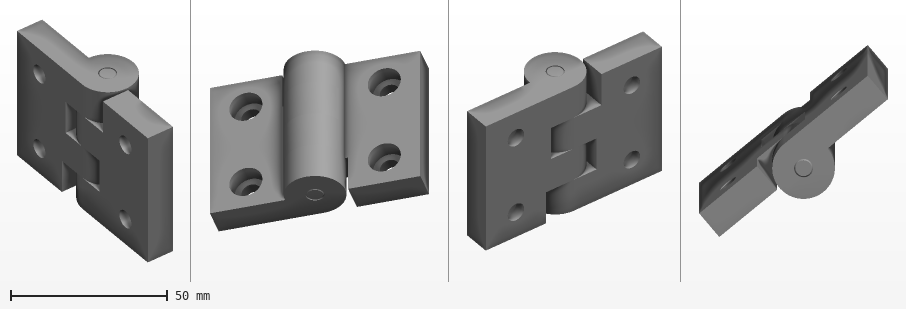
import cadquery as cq

hinge_width = 70.0
hinge_height = 50.0
leaf_thickness = 10.0
knuckle_radius = leaf_thickness
knuckle_count = 4
knuckle_height = hinge_height / knuckle_count

end_slot_reach = 11.0
inner_slot_reach = 9.0

hole_diameter = 6.5
counterbore_diameter = 11.0
hole_land = 4.0
hole_offset_x = 23.0
hole_offset_z = 15.0

pin_diameter = 6.0
pin_chamfer = 0.4


def leaf_profile():
    """Full-height plate on the -X side, joined to a round barrel on the pin axis."""
    half_width = hinge_width / 2
    plate = cq.Workplane("XY").box(
        half_width, leaf_thickness, hinge_height, centered=False
    ).translate((-half_width, -leaf_thickness, -hinge_height / 2))
    barrel = cq.Workplane("XY").circle(knuckle_radius).extrude(hinge_height / 2, both=True)
    return plate.union(barrel)


def band_block(index, x_min, x_max):
    """Block filling one knuckle's height, counted from the top, between two X planes."""
    depth = 2 * knuckle_radius
    bottom = hinge_height / 2 - (index + 1) * knuckle_height
    block = cq.Workplane("XY").box(x_max - x_min, depth, knuckle_height, centered=False)
    return block.translate((x_min, -knuckle_radius, bottom))


def round_cutters(diameter, front_y):
    """Two round cutters, one above the other, from a Y plane through the +Y side of the plate."""
    centers = [(-hole_offset_x, -hole_offset_z), (-hole_offset_x, hole_offset_z)]
    return (
        cq.Workplane("XZ", origin=(0, front_y, 0))
        .pushPoints(centers)
        .circle(diameter / 2)
        .extrude(front_y)
    )


def mounting_holes():
    """Cutters for the through holes and their counterbores, which open on the +Y side."""
    through_holes = round_cutters(hole_diameter, -leaf_thickness)
    counterbores = round_cutters(counterbore_diameter, hole_land - leaf_thickness)
    return through_holes.union(counterbores)


def make_leaf():
    """Leaf on the -X side, with knuckles in the first and third bands from the top."""
    leaf = leaf_profile()
    leaf = leaf.cut(band_block(2, inner_slot_reach, knuckle_radius))
    leaf = leaf.cut(band_block(1, -inner_slot_reach, knuckle_radius))
    leaf = leaf.cut(band_block(3, -end_slot_reach, knuckle_radius))
    leaf = leaf.cut(mounting_holes())
    pin_bore = cq.Workplane("XY").circle(pin_diameter / 2).extrude(hinge_height / 2, both=True)
    return leaf.cut(pin_bore)


def make_pin():
    """Full-height pin, flush with both ends of the barrel."""
    pin = cq.Workplane("XY").circle(pin_diameter / 2).extrude(hinge_height / 2, both=True)
    return pin.faces("|Z").chamfer(pin_chamfer)


left_leaf = make_leaf()
right_leaf = make_leaf().rotate((0, 0, 0), (0, 1, 0), 180)
pin = make_pin()

result = cq.Compound.makeCompound([left_leaf.val(), right_leaf.val(), pin.val()])